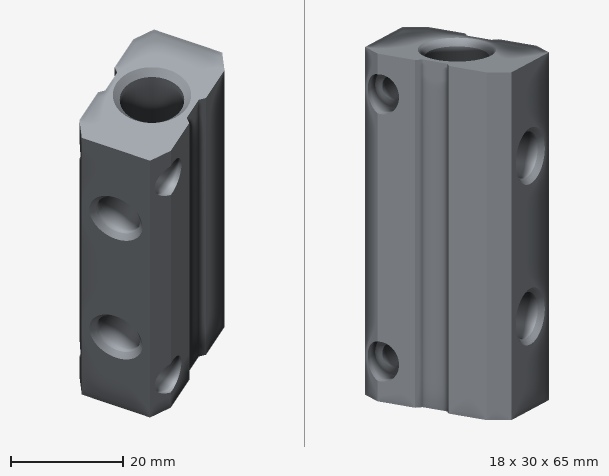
import cadquery as cq

width = 18.0
depth = 30.0
height = 65.0
corner_cut_x = 2.3
corner_cut_y = 3.85

groove_depth = 1.0
groove_floor_width = 5.0

main_bore_diameter = 11.5
main_mouth_diameter = 14.0

port_diameter = 8.6
port_mouth_diameter = 10.45
port_spacing = 30.0

screw_diameter = 4.5
screw_head_diameter = 7.4
screw_head_depth = 4.4
screw_spacing = 50.0
screw_y = -10.45


def make_block():
    """Prism with its four upright corners cut off."""
    half_x = width / 2
    half_y = depth / 2
    flat_x = half_x - corner_cut_x
    flat_y = half_y - corner_cut_y
    outline = [
        (flat_x, half_y),
        (half_x, flat_y),
        (half_x, -flat_y),
        (flat_x, -half_y),
        (-flat_x, -half_y),
        (-half_x, -flat_y),
        (-half_x, flat_y),
        (-flat_x, half_y),
    ]
    return cq.Workplane("XY").polyline(outline).close().extrude(height / 2, both=True)


def make_groove(side):
    """Full-height groove cutter; side is +1 for +X and -1 for -X."""
    face_x = side * width / 2
    floor_x = side * (width / 2 - groove_depth)
    floor_half = groove_floor_width / 2
    mouth_half = floor_half + groove_depth
    outline = [
        (face_x, -mouth_half),
        (floor_x, -floor_half),
        (floor_x, floor_half),
        (face_x, mouth_half),
    ]
    return cq.Workplane("XY").polyline(outline).close().extrude(height / 2, both=True)


def make_chamfered_bore(diameter, mouth_diameter, length):
    """Cutter along Z, centred on the origin, flared at 45 degrees at both ends."""
    radius = diameter / 2
    mouth_radius = mouth_diameter / 2
    end = length / 2
    flare_start = end - (mouth_radius - radius)
    half_section = [
        (0, -end),
        (mouth_radius, -end),
        (radius, -flare_start),
        (radius, flare_start),
        (mouth_radius, end),
        (0, end),
    ]
    return cq.Workplane("XZ").polyline(half_section).close().revolve(360, (0, 0, 0), (0, 1, 0))


def make_screw_hole(z):
    """Through hole along X with a counterbore for the screw head."""
    start = cq.Workplane("YZ", origin=(-width / 2, screw_y, z))
    shank = start.circle(screw_diameter / 2).extrude(width)
    head_seat = (
        start.workplane(offset=width - screw_head_depth)
        .circle(screw_head_diameter / 2)
        .extrude(screw_head_depth)
    )
    return shank.union(head_seat)


result = make_block()
result = result.cut(make_chamfered_bore(main_bore_diameter, main_mouth_diameter, height))

port = make_chamfered_bore(port_diameter, port_mouth_diameter, depth)
port = port.rotate((0, 0, 0), (1, 0, 0), 90)

for side in (-1, 1):
    result = result.cut(make_groove(side))
    result = result.cut(port.translate((0, 0, side * port_spacing / 2)))
    result = result.cut(make_screw_hole(side * screw_spacing / 2))